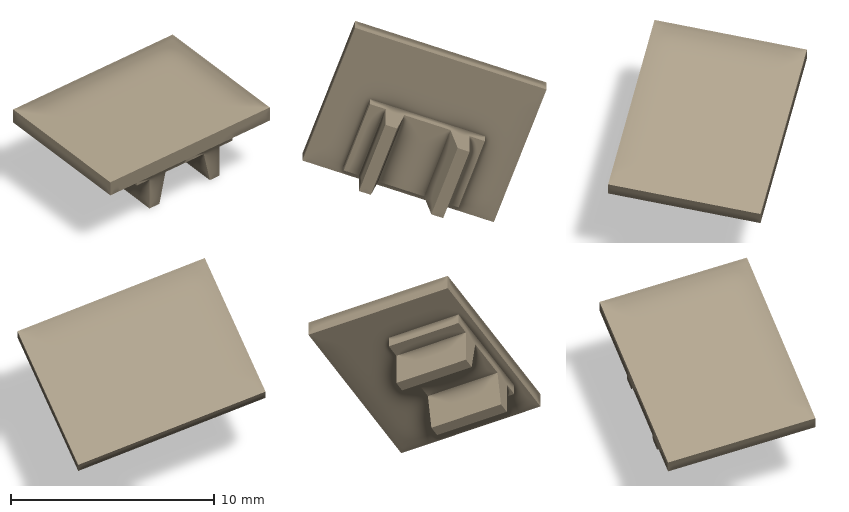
import cadquery as cq

plate_x = 7.7
plate_y = 10.0
plate_thickness = 0.8

pad_x = plate_x / 2
pad_y = 6.0
pad_thickness = 0.56
pad_edge_gap = 0.43
pad_center_x = plate_x / 2 - pad_edge_gap - pad_x / 2

leg_height = 1.77
leg_outer_y = 2.2
leg_root_inner_y = 1.2
leg_tip_inner_y = 1.58


def make_leg(side):
    """Tapered leg on the +Y (side = 1) or -Y (side = -1) half of the pad."""
    root_z = -pad_thickness
    tip_z = root_z - leg_height
    profile = [
        (side * leg_root_inner_y, root_z),
        (side * leg_outer_y, root_z),
        (side * leg_outer_y, tip_z),
        (side * leg_tip_inner_y, tip_z),
    ]
    return (
        cq.Workplane("YZ", origin=(pad_center_x, 0, 0))
        .polyline(profile)
        .close()
        .extrude(pad_x / 2, both=True)
    )


plate = cq.Workplane("XY").rect(plate_x, plate_y).extrude(plate_thickness)
pad = cq.Workplane("XY").center(pad_center_x, 0).rect(pad_x, pad_y).extrude(-pad_thickness)

result = plate.union(pad)
for side in (-1, 1):
    result = result.union(make_leg(side))